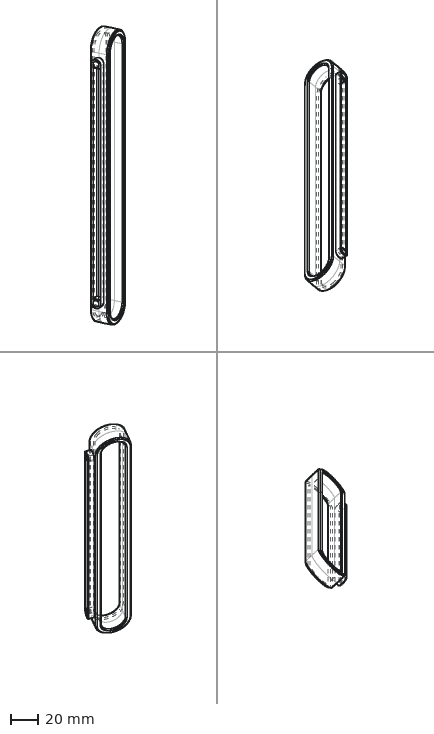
import cadquery as cq

loop_width = 15.0
loop_depth = 28.3
loop_height = 236.0
wall = 4.7
draft_angle = 1.0
edge_chamfer = 1.0

overall_depth = 32.5
pad_width = 8.0
pad_height = 200.1

channel_width = 5.0
channel_height = 187.0
channel_depth = 6.0
end_bevel = 0.7

dimple_radius = channel_width / 2
dimple_depth = 2.5

pad_rise = overall_depth - loop_depth
pad_face_y = -overall_depth + loop_depth / 2
pad_root = wall / 2
pad_end_centre = (pad_height - pad_width) / 2


def drafted_racetrack(depth, height, taper):
    """Upright racetrack block, centred on X = 0, drafted towards both sides."""
    half = cq.Workplane("YZ").slot2D(height, depth, 90).extrude(loop_width / 2, taper=taper)
    return half.union(half.mirror("YZ"))


def make_loop():
    outer = drafted_racetrack(loop_depth, loop_height, draft_angle)
    inner = drafted_racetrack(loop_depth - 2 * wall, loop_height - 2 * wall, -draft_angle)
    return outer.cut(inner).faces("<X or >X").chamfer(edge_chamfer)


def make_pad():
    face = cq.Workplane("XZ", origin=(0, pad_face_y, 0))
    return face.slot2D(pad_height, pad_width, 90).extrude(-(pad_rise + pad_root))


def make_channel():
    """Channel block whose two ends are bevelled outwards at the pad face."""
    face_end = channel_height / 2
    floor_end = face_end - end_bevel
    profile = [
        (pad_face_y, -face_end),
        (pad_face_y + end_bevel, -floor_end),
        (pad_face_y + channel_depth, -floor_end),
        (pad_face_y + channel_depth, floor_end),
        (pad_face_y + end_bevel, floor_end),
        (pad_face_y, face_end),
    ]
    side = cq.Workplane("YZ").polyline(profile).close()
    return side.extrude(channel_width / 2, both=True)


def make_dimple(centre_z):
    """Cone with its base on the pad face and its tip towards +Y."""
    base_centre = cq.Vector(0, pad_face_y, centre_z)
    cone = cq.Solid.makeCone(dimple_radius, 0, dimple_depth, base_centre, cq.Vector(0, 1, 0))
    return cq.Workplane(cone)


result = make_loop().union(make_pad()).cut(make_channel())
for end_z in (-pad_end_centre, pad_end_centre):
    result = result.cut(make_dimple(end_z))